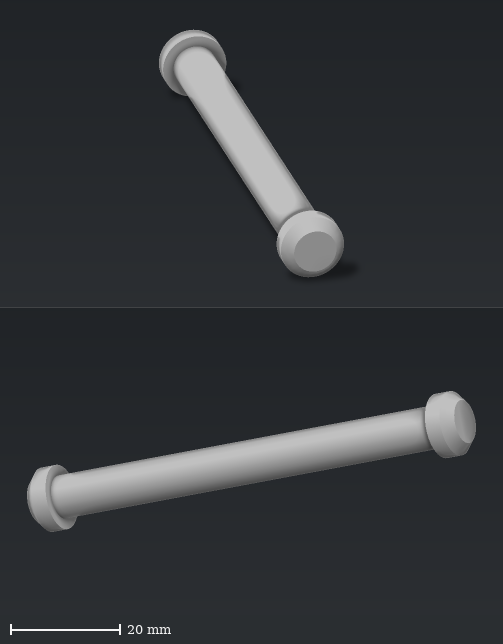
import cadquery as cq

total_length = 90.0
shank_diameter = 8.0
head_diameter = 12.0
head_length = 5.0
chamfer_size = (head_diameter - shank_diameter) / 2


def make_head(direction):
    """Disc at one end of the pin, with its outer edge chamfered; direction is +1 or -1 along X."""
    inner_face = direction * (total_length / 2 - head_length)
    head = (
        cq.Workplane("YZ", origin=(inner_face, 0, 0))
        .circle(head_diameter / 2)
        .extrude(direction * head_length)
    )
    outer_face = ">X" if direction > 0 else "<X"
    return head.faces(outer_face).edges().chamfer(chamfer_size)


shank_length = total_length - 2 * head_length
shank = (
    cq.Workplane("YZ", origin=(-shank_length / 2, 0, 0))
    .circle(shank_diameter / 2)
    .extrude(shank_length)
)

result = shank
for direction in (-1, 1):
    result = result.union(make_head(direction))